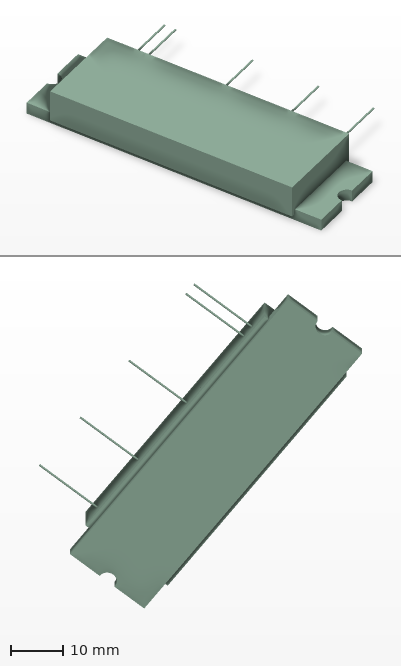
import cadquery as cq

flange_length = 67.0
flange_width = 18.0
flange_thickness = 2.6
notch_radius = 1.8

body_length = 55.0
body_width = 19.95
body_bottom = 1.5
body_height = 7.05

overall_width = 34.0
pin_diameter = 0.4
pin_axis_height = 4.0
pin_x_positions = [-23.5, -21.05, -3.5, 11.45, 24.0]

pin_length = overall_width - body_width
pin_root_y = body_width / 2


def make_flange():
    """Mounting plate with a half-round screw notch in each end."""
    plate = cq.Workplane("XY").box(
        flange_length, flange_width, flange_thickness, centered=(True, True, False)
    )
    notches = (
        cq.Workplane("XY")
        .pushPoints([(-flange_length / 2, 0), (flange_length / 2, 0)])
        .circle(notch_radius)
        .extrude(flange_thickness)
    )
    return plate.cut(notches)


def make_body():
    """Plain block that sits over the flange and overhangs its long sides."""
    return (
        cq.Workplane("XY")
        .workplane(offset=body_bottom)
        .rect(body_length, body_width)
        .extrude(body_height)
    )


def make_pin(x):
    """Round lead standing out of the +Y face of the body."""
    axis = cq.Vector(0, 1, 0)
    root = cq.Vector(x, pin_root_y, pin_axis_height)
    return cq.Solid.makeCylinder(pin_diameter / 2, pin_length, root, axis)


result = make_flange().union(make_body())
for pin_x in pin_x_positions:
    result = result.union(cq.Workplane(obj=make_pin(pin_x)))